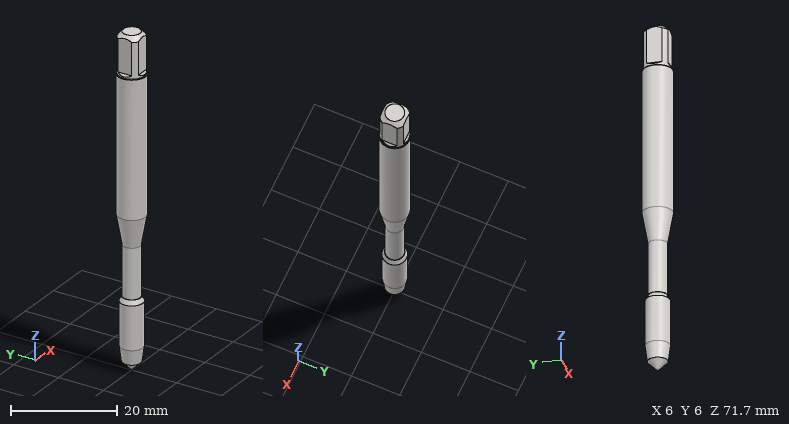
import cadquery as cq

total_length = 71.7
shank_radius = 6.0 / 2
shank_bottom = 33.1
shank_top = 62.95
shank_chamfer = 0.15

neck_radius = 3.7 / 2
neck_top = 26.7

drive_radius = 5.75 / 2
drive_width = 4.9
drive_flat_bottom = 63.7
drive_end_radius = 3.7 / 2
drive_end_chamfer = drive_radius - drive_end_radius

head_radius = 4.9 / 2
head_top = 15.8
head_end_radius = 1.95
head_shoulder = 14.8
lead_top = 5.3
tip_radius = 2.0
tip_height = tip_radius


def revolve_profile(points):
    """Revolve a closed (radius, z) outline around the Z axis."""
    return cq.Workplane("XZ").polyline(points).close().revolve(360, (0, 0), (0, 1))


def make_flat_cutter():
    """Prism that cuts the +X drive flat, with a 45 degree run-out at its foot."""
    flat = drive_width / 2
    reach = shank_radius - flat
    return (
        cq.Workplane("XZ")
        .moveTo(flat, total_length)
        .lineTo(flat, drive_flat_bottom)
        .lineTo(flat + reach, drive_flat_bottom - reach)
        .lineTo(flat + reach, total_length)
        .close()
        .extrude(shank_radius, both=True)
    )


def make_shank():
    """Neck, taper, shank and square drive."""
    shank = revolve_profile([
        (0, head_top),
        (neck_radius, head_top),
        (neck_radius, neck_top),
        (shank_radius, shank_bottom),
        (shank_radius, shank_top - shank_chamfer),
        (drive_radius, shank_top),
        (drive_radius, total_length - drive_end_chamfer),
        (drive_end_radius, total_length),
        (0, total_length),
    ])
    cutter = make_flat_cutter()
    for angle in (0, 90, 180, 270):
        shank = shank.cut(cutter.rotate((0, 0, 0), (0, 0, 1), angle))
    return shank


def make_cutting_head():
    """Pointed cutting head, seated against the flat end of the neck."""
    return revolve_profile([
        (0, 0),
        (tip_radius, tip_height),
        (head_radius, lead_top),
        (head_radius, head_shoulder),
        (head_end_radius, head_top),
        (0, head_top),
    ])


shank = make_shank()
cutting_head = make_cutting_head()

result = cq.Compound.makeCompound([shank.val(), cutting_head.val()])